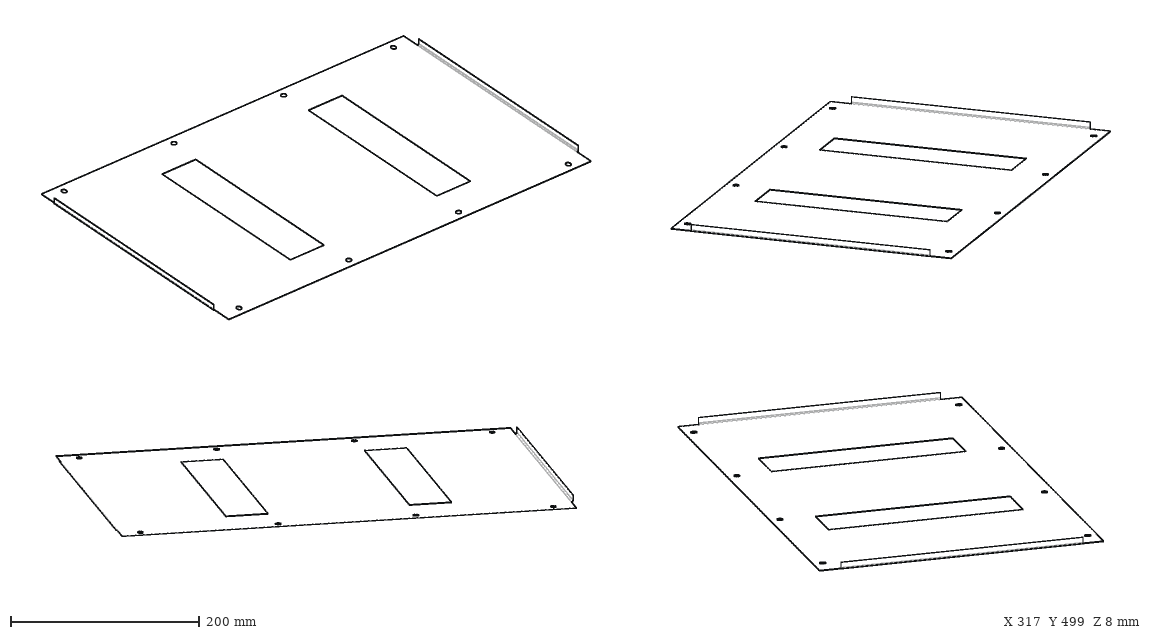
import cadquery as cq

overall_width = 317.0
overall_length = 499.0
overall_height = 8.0
sheet_thickness = 1.0

flange_width = 270.0
bend_inner_radius = 1.0
bend_outer_radius = bend_inner_radius + sheet_thickness

plate_length = overall_length - 2 * bend_outer_radius

window_width = 217.0
window_length = 46.0
window_pitch = 200.0

hole_column_spacing = 295.5
hole_pitch = 150.0
outer_row_spacing = 3 * hole_pitch
hole_diameter = 6.4
slot_width = 5.5
slot_length = 7.0


def make_plate():
    return cq.Workplane("XY").box(
        overall_width, plate_length, sheet_thickness, centered=(True, True, False)
    )


def make_flange():
    """Bend and upright wall at the +Y end, as one profile extruded along X."""
    bend_start = plate_length / 2
    outer_face = overall_length / 2
    inner_face = outer_face - sheet_thickness
    return (
        cq.Workplane("YZ")
        .moveTo(bend_start, 0)
        .radiusArc((outer_face, bend_outer_radius), -bend_outer_radius)
        .lineTo(outer_face, overall_height)
        .lineTo(inner_face, overall_height)
        .lineTo(inner_face, bend_outer_radius)
        .radiusArc((bend_start, sheet_thickness), bend_inner_radius)
        .close()
        .extrude(flange_width / 2, both=True)
    )


def make_windows():
    return (
        cq.Workplane("XY")
        .rarray(1, window_pitch, 1, 2)
        .rect(window_width, window_length)
        .extrude(sheet_thickness)
    )


def make_round_holes():
    """Inner two rows of fixing holes."""
    return (
        cq.Workplane("XY")
        .rarray(hole_column_spacing, hole_pitch, 2, 2)
        .circle(hole_diameter / 2)
        .extrude(sheet_thickness)
    )


def make_corner_slots():
    """Outer two rows of fixing holes, elongated along X."""
    return (
        cq.Workplane("XY")
        .rarray(hole_column_spacing, outer_row_spacing, 2, 2)
        .slot2D(slot_length, slot_width)
        .extrude(sheet_thickness)
    )


flange = make_flange()
result = make_plate().union(flange).union(flange.mirror("XZ"))
result = result.cut(make_windows()).cut(make_round_holes()).cut(make_corner_slots())